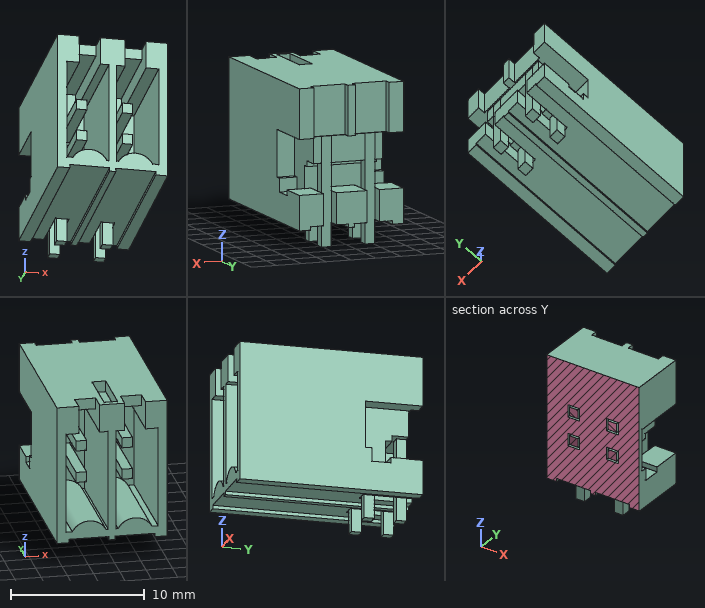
import cadquery as cq


WIDTH = 8.4
LENGTH = 14.2
HEIGHT = 10.8
FRONT = -LENGTH / 2
REAR = LENGTH / 2

COLUMN_PITCH = 3.5
ROW_PITCH = 2.5
PIN_SIZE = 0.8
PIN_HOLE_SIZE = 1.04
LOWER_PIN_Z = 4.05
UPPER_PIN_Z = LOWER_PIN_Z + ROW_PITCH
LEG_LENGTH_BELOW = 1.49
PIN_TIP_Y = FRONT + 2.98
PIN_CLEARANCE = (PIN_HOLE_SIZE - PIN_SIZE) / 2

SIDE_WALL = 0.7
DIVIDER = 0.6
CAVITY_DEPTH = 9.0
CAVITY_FLOOR_Z = 0.87
SHOULDER_Z = 8.65
ROOF = 0.85
KEYWAY_WIDTH = 1.59
KEYWAY_NOTCH_DEPTH = 1.52
RIB_HEIGHT = 0.77
RIB_HALF_CHORD = 1.29

POCKET_WIDTH = 1.04
POCKET_FRONT_LIP = 0.48
POCKET_LENGTH = 4.5

FOOT_HEIGHT = 0.27
SIDE_FOOT_WIDTH = 0.92
MIDDLE_FOOT_WIDTH = 0.48

REAR_NOTCH_DEPTH = 0.6
REAR_SIDE_LEG = 1.19
WINDOW_DEPTH = 4.46
WINDOW_TOP_Z = 6.96
WINDOW_LEDGE_Z = 3.34
WINDOW_FLOOR_Z = 2.71
TOOTH_DEPTH = 3.98
TOOTH_FLOOR_Z = 2.29
CORE_WIDTH = 5.6
CORE_INSET = 0.7
CORE_BOTTOM_Z = 4.9
CORE_STEP_INSET = 2.0
CORE_STEP_Z = 4.46
CORE_FOOT_INSET = 2.5

UPPER_LEG_REAR_Y = REAR - CORE_INSET
LOWER_LEG_REAR_Y = UPPER_LEG_REAR_Y - ROW_PITCH
PIN_ROWS = ((UPPER_PIN_Z, UPPER_LEG_REAR_Y), (LOWER_PIN_Z, LOWER_LEG_REAR_Y))
COLUMN_SIDES = (-1, 1)


def block(x_range, y_range, z_range):
    """Box between two limits along each axis."""
    (x0, x1), (y0, y1), (z0, z1) = x_range, y_range, z_range
    return cq.Workplane("XY").box(x1 - x0, y1 - y0, z1 - z0, centered=False).translate((x0, y0, z0))


def side_profile(inset_points, width):
    """Prism centred on X, from (distance in from the rear face, Z) points."""
    points = [(REAR - inset, z) for inset, z in inset_points]
    return cq.Workplane("YZ").polyline(points).close().extrude(width / 2, both=True)


def span(centre, size):
    return (centre - size / 2, centre + size / 2)


def mirrored_span(side, inner, outer):
    """X limits of a feature lying between two distances from the centre plane."""
    return tuple(sorted((side * inner, side * outer)))


def cavity(side):
    """Mating cavity with a narrower keyway above it and a rounded rib on its floor."""
    column_x = side * COLUMN_PITCH / 2
    y_range = (FRONT, FRONT + CAVITY_DEPTH)
    x_range = mirrored_span(side, DIVIDER / 2, WIDTH / 2 - SIDE_WALL)
    chamber = block(x_range, y_range, (CAVITY_FLOOR_Z, SHOULDER_Z))
    keyway = block(span(column_x, KEYWAY_WIDTH), y_range, (SHOULDER_Z, HEIGHT - ROOF))
    notch = block(
        span(column_x, KEYWAY_WIDTH),
        (FRONT, FRONT + KEYWAY_NOTCH_DEPTH),
        (SHOULDER_Z, HEIGHT),
    )
    rib = (
        cq.Workplane("XZ", origin=(column_x, FRONT, CAVITY_FLOOR_Z))
        .moveTo(-RIB_HALF_CHORD, 0)
        .threePointArc((0, RIB_HEIGHT), (RIB_HALF_CHORD, 0))
        .close()
        .extrude(-CAVITY_DEPTH)
    )
    return chamber.union(keyway).union(notch).cut(rib)


def top_pocket():
    y_start = FRONT + POCKET_FRONT_LIP
    return block(span(0, POCKET_WIDTH), (y_start, y_start + POCKET_LENGTH), (HEIGHT - ROOF, HEIGHT))


def underside_channel(side):
    x_range = mirrored_span(side, MIDDLE_FOOT_WIDTH / 2, WIDTH / 2 - SIDE_FOOT_WIDTH)
    return block(x_range, (FRONT, REAR), (0, FOOT_HEIGHT))


def rear_notch(side):
    x_range = mirrored_span(side, DIVIDER / 2, WIDTH / 2 - REAR_SIDE_LEG)
    return block(x_range, (REAR - REAR_NOTCH_DEPTH, REAR), (WINDOW_TOP_Z, HEIGHT))


def rear_window():
    """Stepped opening that crosses the rear end from side to side."""
    return side_profile(
        [
            (0, WINDOW_TOP_Z),
            (WINDOW_DEPTH, WINDOW_TOP_Z),
            (WINDOW_DEPTH, WINDOW_LEDGE_Z),
            (TOOTH_DEPTH, WINDOW_LEDGE_Z),
            (TOOTH_DEPTH, TOOTH_FLOOR_Z),
            (CORE_FOOT_INSET, TOOTH_FLOOR_Z),
            (CORE_FOOT_INSET, WINDOW_FLOOR_Z),
            (0, WINDOW_FLOOR_Z),
        ],
        WIDTH,
    )


def pin_core():
    """Narrower stepped block inside the rear window that carries the pins."""
    return side_profile(
        [
            (CORE_INSET, WINDOW_TOP_Z),
            (WINDOW_DEPTH, WINDOW_TOP_Z),
            (WINDOW_DEPTH, TOOTH_FLOOR_Z),
            (CORE_FOOT_INSET, TOOTH_FLOOR_Z),
            (CORE_FOOT_INSET, CORE_STEP_Z),
            (CORE_STEP_INSET, CORE_STEP_Z),
            (CORE_STEP_INSET, CORE_BOTTOM_Z),
            (CORE_INSET, CORE_BOTTOM_Z),
        ],
        CORE_WIDTH,
    )


def leg_slot(side):
    """Slot through the rear floor, open to the rear, that clears both legs of one column."""
    slot_y = LOWER_LEG_REAR_Y - PIN_SIZE - PIN_CLEARANCE
    return block(span(side * COLUMN_PITCH / 2, PIN_HOLE_SIZE), (slot_y, REAR), (0, WINDOW_FLOOR_Z))


def pin_hole(side, beam_z):
    """Square clearance hole from the cavity to the front of the pin core."""
    x_range = span(side * COLUMN_PITCH / 2, PIN_HOLE_SIZE)
    y_range = (FRONT + CAVITY_DEPTH, REAR - WINDOW_DEPTH)
    return block(x_range, y_range, span(beam_z, PIN_HOLE_SIZE))


def make_housing():
    body = block(span(0, WIDTH), (FRONT, REAR), (0, HEIGHT))
    body = body.cut(rear_window()).cut(top_pocket())
    for side in COLUMN_SIDES:
        body = body.cut(cavity(side)).cut(underside_channel(side))
        body = body.cut(rear_notch(side)).cut(leg_slot(side))
    body = body.union(pin_core())
    for side in COLUMN_SIDES:
        for beam_z, leg_rear_y in PIN_ROWS:
            body = body.cut(pin_hole(side, beam_z)).cut(make_pin(side, beam_z, leg_rear_y))
    return body


def make_pin(side, beam_z, leg_rear_y):
    """Square right-angle pin: a beam along Y and a leg down through the underside."""
    x_range = span(side * COLUMN_PITCH / 2, PIN_SIZE)
    beam_top = beam_z + PIN_SIZE / 2
    beam = block(x_range, (PIN_TIP_Y, leg_rear_y), span(beam_z, PIN_SIZE))
    leg = block(x_range, (leg_rear_y - PIN_SIZE, leg_rear_y), (-LEG_LENGTH_BELOW, beam_top))
    return beam.union(leg)


housing = make_housing()
pins = [
    make_pin(side, beam_z, leg_rear_y).val()
    for side in COLUMN_SIDES
    for beam_z, leg_rear_y in PIN_ROWS
]

result = cq.Compound.makeCompound([housing.val(), *pins])